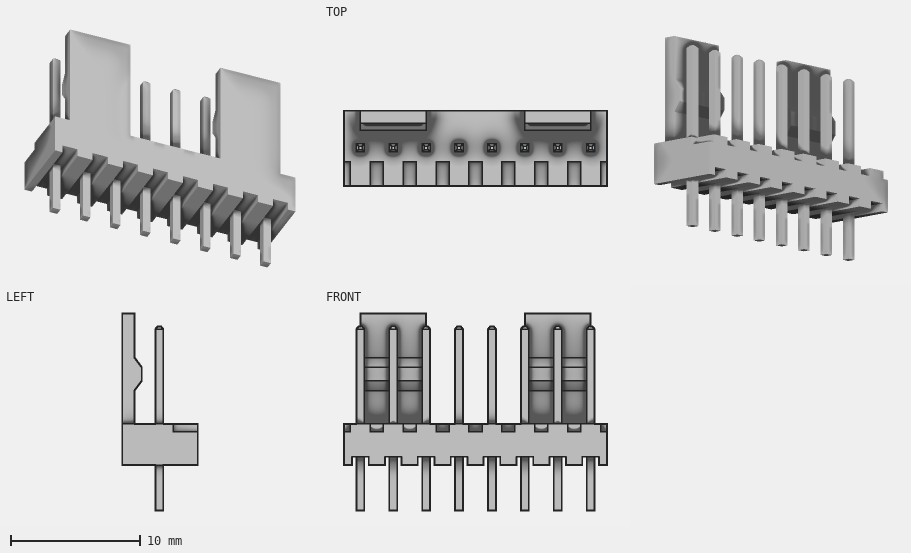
import cadquery as cq

pin_count = 8
pitch = 2.55
pin_width = 0.63

body_length = pin_count * pitch
body_depth = 5.83
body_height = 3.2
body_bottom = 3.52
body_top = body_bottom + body_height
back_y = body_depth / 2
front_y = -body_depth / 2

pin_top = 14.22
pin_setback = 2.87
pin_y = back_y - pin_setback
tip_height = 0.2
tip_width = 0.26

slot_width = 0.4 * pitch
slot_length = 1.89
slot_depth = 0.63

channel_width = pitch / 2
channel_depth = 0.63

latch_width = 2 * pitch
latch_top = 15.25
latch_thickness = 0.95
latch_end_offset = pitch / 2
latch_centers = [
    side * (body_length / 2 - latch_end_offset - latch_width / 2)
    for side in (-1, 1)
]

barb_projection = 0.57
barb_center_z = 10.55
barb_base_height = 2.55
barb_crest_height = 1.02

pin_positions = [(i - (pin_count - 1) / 2) * pitch for i in range(pin_count)]
slot_positions = [(i - pin_count / 2) * pitch for i in range(pin_count + 1)]


def make_body():
    """Housing block with its top slots and bottom channels cut out."""
    body = cq.Workplane("XY", origin=(0, 0, body_bottom)).box(
        body_length, body_depth, body_height, centered=(True, True, False)
    )
    slots = (
        cq.Workplane("XY", origin=(0, front_y + slot_length / 2, body_top))
        .pushPoints([(x, 0) for x in slot_positions])
        .rect(slot_width, slot_length)
        .extrude(-slot_depth)
    )
    channels = (
        cq.Workplane("XY", origin=(0, 0, body_bottom))
        .pushPoints([(x, 0) for x in pin_positions])
        .rect(channel_width, body_depth)
        .extrude(channel_depth)
    )
    return body.cut(slots).cut(channels)


def make_latch(center_x):
    """Upright wall flush with the back face, with a trapezoidal barb facing the pins."""
    wall_y = back_y - latch_thickness
    crest_y = wall_y - barb_projection
    half_base = barb_base_height / 2
    half_crest = barb_crest_height / 2
    profile = [
        (back_y, body_top),
        (back_y, latch_top),
        (wall_y, latch_top),
        (wall_y, barb_center_z + half_base),
        (crest_y, barb_center_z + half_crest),
        (crest_y, barb_center_z - half_crest),
        (wall_y, barb_center_z - half_base),
        (wall_y, body_top),
    ]
    return (
        cq.Workplane("YZ", origin=(center_x, 0, 0))
        .polyline(profile)
        .close()
        .extrude(latch_width / 2, both=True)
    )


def make_pin(x):
    """Square pin passing through the housing, with a blunt pyramid tip."""
    shaft_top = pin_top - tip_height
    shaft = cq.Workplane("XY", origin=(x, pin_y, 0)).rect(pin_width, pin_width).extrude(shaft_top)
    tip = (
        cq.Workplane("XY", origin=(x, pin_y, shaft_top))
        .rect(pin_width, pin_width)
        .workplane(offset=tip_height)
        .rect(tip_width, tip_width)
        .loft(ruled=True)
    )
    return shaft.union(tip)


result = make_body()
for latch_x in latch_centers:
    result = result.union(make_latch(latch_x))
for pin_x in pin_positions:
    result = result.union(make_pin(pin_x))